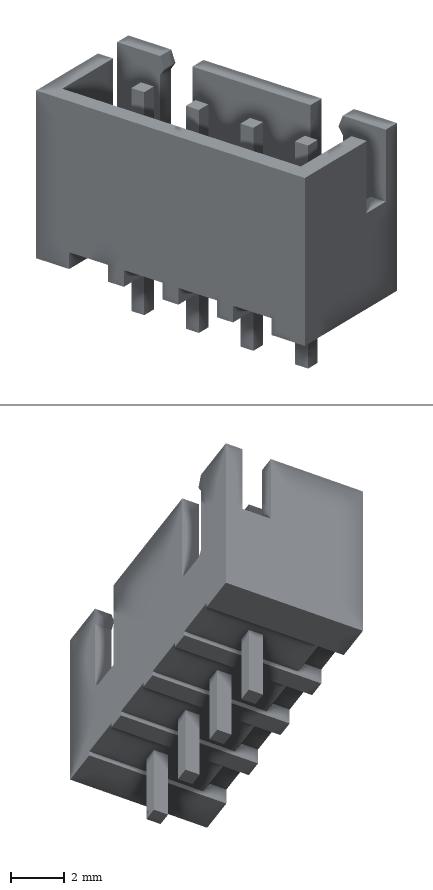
import cadquery as cq
import math

length = 12.5
depth = 5.8
height = 7.0
wall = 0.7
floor_thickness = 1.4
front_y = -depth / 2
back_y = depth / 2
back_wall_y = back_y - wall
end_x = length / 2

pin_count = 4
pin_pitch = 2.54
pin_width = 0.6
pin_tail = 2.8
pin_top_z = 6.5
pin_back_offset = 2.4
pin_y = back_y - pin_back_offset
pin_xs = [(i - (pin_count - 1) / 2) * pin_pitch for i in range(pin_count)]

end_slot_width = 1.2
end_slot_floor_z = 4.0

tab_width = 2.0
tab_slot_width = 1.5
tab_slot_floor_z = 3.0
tab_root_radius = 0.3

bump_reach = 0.2
bump_peak_drop = 0.5
bump_height = 0.8

channel_width = 1.8
channel_mouth_height = 0.7
channel_height = 0.2
channel_slope_run = 0.28


def box(x0, x1, y0, y1, z0, z1):
    """Box between two opposite corners."""
    return cq.Workplane("XY").box(x1 - x0, y1 - y0, z1 - z0, centered=False).translate((x0, y0, z0))


def mirrored(shape):
    """Copy on the opposite side of the plane X = 0."""
    return shape.mirror("YZ")


def back_wall_prism(outline):
    """Extrude an XZ outline through the thickness of the back wall."""
    return outline.extrude(-wall).translate((0, back_wall_y, 0))


def make_end_slot():
    """Opening in the left end wall, next to the back wall."""
    return box(-end_x, -end_x + wall, back_wall_y - end_slot_width, back_wall_y, end_slot_floor_z, height)


def make_tab_slot():
    """Slot through the back wall, rounded where the latch tab meets its floor."""
    tab_x = -end_x + tab_width
    arc_offset = tab_root_radius * (1 - math.sqrt(0.5))
    return back_wall_prism(
        cq.Workplane("XZ")
        .moveTo(tab_x, height)
        .lineTo(tab_x, tab_slot_floor_z + tab_root_radius)
        .threePointArc(
            (tab_x + arc_offset, tab_slot_floor_z + arc_offset),
            (tab_x + tab_root_radius, tab_slot_floor_z),
        )
        .lineTo(tab_x + tab_slot_width, tab_slot_floor_z)
        .lineTo(tab_x + tab_slot_width, height)
        .close()
    )


def make_channel(x):
    """Underside channel, open at front and back, its roof stepping down behind the front wall."""
    slope_start_y = front_y + wall
    return (
        cq.Workplane("YZ")
        .moveTo(front_y, 0)
        .lineTo(front_y, channel_mouth_height)
        .lineTo(slope_start_y, channel_mouth_height)
        .lineTo(slope_start_y + channel_slope_run, channel_height)
        .lineTo(back_y, channel_height)
        .lineTo(back_y, 0)
        .close()
        .extrude(channel_width / 2, both=True)
        .translate((x, 0, 0))
    )


def make_pin(x):
    """Square pin running through the floor."""
    half = pin_width / 2
    return box(x - half, x + half, pin_y - half, pin_y + half, -pin_tail, pin_top_z)


def make_housing():
    """Open-topped shroud with its pins moulded in as one solid."""
    shroud = box(-end_x, end_x, front_y, back_y, 0, height)
    cavity = box(-end_x + wall, end_x - wall, front_y + wall, back_wall_y, floor_thickness, height)
    shroud = shroud.cut(cavity)
    for slot in (make_end_slot(), make_tab_slot()):
        shroud = shroud.cut(slot).cut(mirrored(slot))
    for x in pin_xs:
        shroud = shroud.cut(make_channel(x))
    for x in pin_xs:
        shroud = shroud.union(make_pin(x))
    return shroud


def make_bump():
    """Triangular latch bump standing on the inner edge of the left tab."""
    tab_x = -end_x + tab_width
    return back_wall_prism(
        cq.Workplane("XZ")
        .moveTo(tab_x, height)
        .lineTo(tab_x + bump_reach, height - bump_peak_drop)
        .lineTo(tab_x, height - bump_height)
        .close()
    )


housing = make_housing()
left_bump = make_bump()
right_bump = mirrored(left_bump)

result = cq.Compound.makeCompound([housing.val(), left_bump.val(), right_bump.val()])